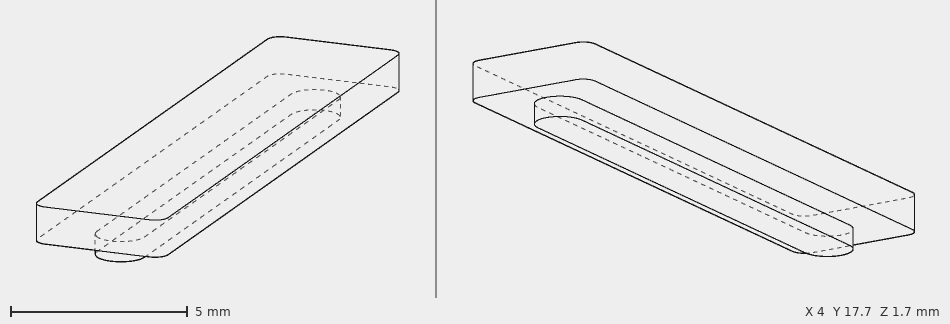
import cadquery as cq

plate_width = 4.0
plate_length = 17.7
plate_thickness = 1.1
corner_radius = 0.4

rib_width = 1.45
rib_end_margin = 1.0
rib_length = plate_length - 2 * rib_end_margin
rib_height = 0.6


def make_plate():
    """Flat plate resting on Z = 0, with rounded vertical corners."""
    plate = cq.Workplane("XY").box(
        plate_width, plate_length, plate_thickness, centered=(True, True, False)
    )
    return plate.edges("|Z").fillet(corner_radius)


def make_rib():
    """Rib with fully rounded ends, running along Y below the plate."""
    return cq.Workplane("XY").slot2D(rib_length, rib_width, angle=90).extrude(-rib_height)


result = make_plate().union(make_rib())